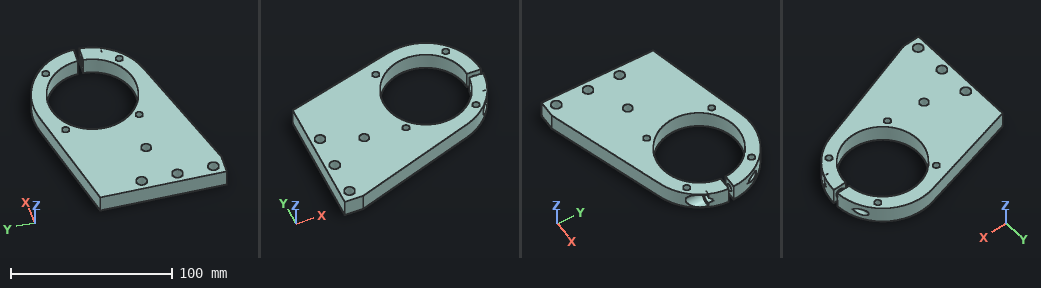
import cadquery as cq
import math

length = 120.5
width = 102.1
thickness = 12.7
ring_radius = 38.1
bore_radius = 28.5
slot_width = 3.4
ring_x = length - math.sqrt(ring_radius**2 - (slot_width / 2) ** 2)
ring_y = width - ring_radius
left_edge_height = 81.4
bottom_edge_length = 12.4

ring_hole_diameter = 4.5
ring_hole_spacing = 47.3
edge_hole_diameter = 6.8
edge_hole_x = 6.3
first_edge_hole_y = 7.0
edge_hole_pitch = 23.0
edge_hole_count = 3
middle_hole_diameter = 6.1
middle_hole_x = 31.8
middle_hole_y = 43.3

screw_x = 115.4
screw_clearance_diameter = 6.4
screw_thread_diameter = 5.0
screw_head_diameter = 11.3
head_seat_offset = 14.6


def tangent_point(corner_x, corner_y, side):
    """Point where a line from a corner touches the ring: side 1 is above, -1 below."""
    dx = corner_x - ring_x
    dy = corner_y - ring_y
    to_corner = math.atan2(dy, dx)
    angle = to_corner - side * math.acos(ring_radius / math.hypot(dx, dy))
    return (ring_x + ring_radius * math.cos(angle), ring_y + ring_radius * math.sin(angle))


def make_plate():
    upper_tangent = tangent_point(0, left_edge_height, 1)
    lower_tangent = tangent_point(bottom_edge_length, 0, -1)
    return (
        cq.Workplane("XY")
        .moveTo(0, 0)
        .lineTo(bottom_edge_length, 0)
        .lineTo(*lower_tangent)
        .threePointArc((ring_x + ring_radius, ring_y), upper_tangent)
        .lineTo(0, left_edge_height)
        .close()
        .extrude(thickness)
    )


def vertical_holes(points, diameter):
    return cq.Workplane("XY").pushPoints(points).circle(diameter / 2).extrude(thickness)


def screw_bore(diameter, start_y, end_y):
    """Cylinder along +Y on the clamp screw axis."""
    return (
        cq.Workplane("XZ", origin=(screw_x, start_y, thickness / 2))
        .circle(diameter / 2)
        .extrude(start_y - end_y)
    )


half_spacing = ring_hole_spacing / 2
ring_holes = [
    (ring_x + i * half_spacing, ring_y + j * half_spacing)
    for i in (-1, 1)
    for j in (-1, 1)
]
edge_holes = [
    (edge_hole_x, first_edge_hole_y + i * edge_hole_pitch) for i in range(edge_hole_count)
]

result = make_plate()
result = result.cut(vertical_holes([(ring_x, ring_y)], 2 * bore_radius))
result = result.cut(vertical_holes(ring_holes, ring_hole_diameter))
result = result.cut(vertical_holes(edge_holes, edge_hole_diameter))
result = result.cut(vertical_holes([(middle_hole_x, middle_hole_y)], middle_hole_diameter))

slot = (
    cq.Workplane("XY", origin=(ring_x, ring_y, 0))
    .rect(2 * ring_radius, slot_width)
    .extrude(thickness)
    .translate((ring_radius, 0, 0))
)
result = result.cut(slot)

result = result.cut(screw_bore(screw_head_diameter, 0, ring_y - head_seat_offset))
result = result.cut(screw_bore(screw_clearance_diameter, 0, ring_y))
result = result.cut(screw_bore(screw_thread_diameter, ring_y, width))